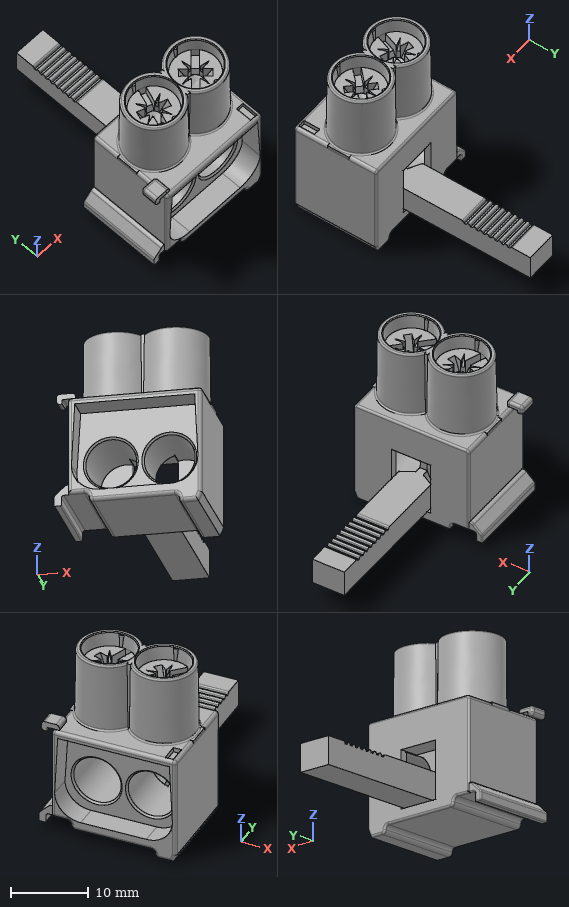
import cadquery as cq
import math


overall_length = 33.5

half_width = 8.9
front_y = -13.45
top_z = 15.75
left_bottom_z = 2.35
mid_bottom_z = 1.1
left_step_x = -6.77
foot_step_x = 5.3
edge_radius = 0.5
rear_edge_radius = 0.3
foot_chamfer_width = 0.5
foot_chamfer_height = 1.15

pair_spacing = 7.77
axis_xs = (-pair_spacing / 2, pair_spacing / 2)
bore_z = 7.4
bore_radius = 3.4
bore_chamfer = 0.27
rear_wall = 1.0
pocket_depth = 3.2
pocket_bottom_z = 2.6
pocket_top_z = 14.8
pocket_top_half = 7.97
pocket_bottom_half = 8.4
pocket_shoulder_z = 6.2
pocket_floor_half = 4.7
pocket_draft = 0.15

tower_y = -6.15
tower_top_z = 25.73
tower_top_radius = 4.45
tower_base_radius = 4.55
tower_flare = 0.25
tower_rim_radius = 0.25
tower_web_width = 0.55
tower_web_half_length = 2.55
mouth_radius = 3.72
mouth_chamfer = 0.15
key_radius = 0.37
key_offset = 3.82
key_drop = 0.17
pad_half_length = 1.75
pad_inset = 0.017

clip_front_y = front_y + edge_radius
hook_length = 2.5
hook_left_x = -10.55
hook_right_x = -7.97
hook_top_z = 16.55
hook_tip_z = 15.1
hook_thickness = 0.8
hook_bend_radius = 0.47
hook_inner_radius = 0.17
hook_rear_radius = 0.4
arm_left_x = -10.9
arm_thickness = 1.05
arm_tip_z = 0.9
arm_root_top_z = 3.8
arm_slope_start_x = -9.28
arm_slope_end_z = 2.28
arm_root_radius = 0.85
arm_bend_radius = 0.5
arm_inner_radius = 0.35
arm_rear_y = -0.1
arm_rear_radius = 0.2
clip_tip_radius = 0.17
notch_width = 1.15
notch_depth = 0.65
notch_center_x = 7.75

bar_width = 4.95
bar_bottom_z = 2.68
bar_top_z = 6.65
bar_rear_y = overall_length + front_y
bar_front_y = -3.0
drill_depth_y = -2.0
drill_tip_half_angle = 59
window_width = 6.0
groove_count = 8
groove_pitch = 1.0
groove_floor = 0.27
groove_depth = 0.35
crest_width = 0.5
crest_height = 0.17
first_groove_y = 9.58

screw_radius = 3.52
screw_top_z = 23.65
screw_bottom_z = 11.4
screw_angles = (70, 45)
slot_width = 1.1
slot_depth = 1.47
recess_arm_reach = 2.25
recess_core_radius = 1.15
recess_depth = 2.35
recess_tip_depth = 0.67
star_reach = 2.48
star_half_width = 0.37
star_depth = 2.0


def box(x0, x1, y0, y1, z0, z1):
    """Box given by its limits along each axis."""
    return cq.Workplane("XY").box(x1 - x0, y1 - y0, z1 - z0, centered=False).translate((x0, y0, z0))


def extrude_along_y(outline, start_y, end_y):
    """Extrude a closed X-Z outline between two Y positions."""
    return outline.extrude(start_y - end_y).translate((0, start_y, 0))


def y_cylinder(x, z, radius, start_y, end_y):
    return extrude_along_y(cq.Workplane("XZ").center(x, z).circle(radius), end_y, start_y)


def step_down(outline, x, z, drop):
    """Continue an outline with an S-shaped step: a hollow quarter arc, then a round one."""
    r = drop / 2
    bulge = r * math.sqrt(0.5)
    return (
        outline.threePointArc((x + bulge, z - r + bulge), (x + r, z - r))
        .threePointArc((x + 2 * r - bulge, z - r - bulge), (x + 2 * r, z - drop))
    )


def housing_block():
    outline = (
        cq.Workplane("XZ")
        .moveTo(-half_width, top_z)
        .lineTo(-half_width, left_bottom_z)
        .lineTo(left_step_x, left_bottom_z)
    )
    outline = step_down(outline, left_step_x, left_bottom_z, left_bottom_z - mid_bottom_z)
    outline = outline.lineTo(foot_step_x, mid_bottom_z)
    outline = step_down(outline, foot_step_x, mid_bottom_z, mid_bottom_z)
    outline = (
        outline.lineTo(half_width - foot_chamfer_width, 0)
        .lineTo(half_width, foot_chamfer_height)
        .lineTo(half_width, top_z)
        .close()
    )
    block = extrude_along_y(outline, 0, front_y)
    block = block.edges("<Y or (|Y and >Z)").fillet(edge_radius)
    return block.faces(">Y").edges().fillet(rear_edge_radius)


def pocket_outline(roof_drop):
    """Outline of the wire pocket: upright sides leaning inwards and round lower corners."""
    roof_z = pocket_top_z - roof_drop
    roof_half = pocket_top_half - roof_drop / 2
    corner_x = pocket_floor_half + (pocket_bottom_half - pocket_floor_half) * math.sqrt(0.5)
    corner_z = pocket_shoulder_z - (pocket_shoulder_z - pocket_bottom_z) * math.sqrt(0.5)
    return (
        cq.Workplane("XZ", origin=(0, front_y, 0))
        .moveTo(-roof_half, roof_z)
        .lineTo(roof_half, roof_z)
        .lineTo(pocket_bottom_half, pocket_shoulder_z)
        .threePointArc((corner_x, corner_z), (pocket_floor_half, pocket_bottom_z))
        .lineTo(-pocket_floor_half, pocket_bottom_z)
        .threePointArc((-corner_x, corner_z), (-pocket_bottom_half, pocket_shoulder_z))
        .close()
    )


def wire_pocket():
    mouth = pocket_outline(0).wire().val()
    floor = pocket_outline(pocket_draft).wire().val().translate(cq.Vector(0, pocket_depth, 0))
    return cq.Workplane(cq.Solid.makeLoft([mouth, floor], True))


def wire_bore(x):
    """Bore from the pocket floor to the rear wall, with a chamfered mouth."""
    mouth_y = front_y + pocket_depth
    bore = y_cylinder(x, bore_z, bore_radius, mouth_y, -rear_wall)
    mouth = cq.Solid.makeCone(
        bore_radius + bore_chamfer, bore_radius, bore_chamfer,
        pnt=cq.Vector(x, mouth_y, bore_z), dir=cq.Vector(0, 1, 0),
    )
    return bore.union(cq.Workplane(mouth))


def tower_body(x):
    """Slightly tapered tower with a flared base and a rounded rim."""
    flare_z = top_z + tower_flare
    rim_x = tower_top_radius - tower_rim_radius
    arc = math.sqrt(0.5)
    profile = (
        cq.Workplane("XZ")
        .moveTo(0, top_z - edge_radius)
        .lineTo(tower_base_radius, top_z - edge_radius)
        .lineTo(tower_base_radius + tower_flare, top_z)
        .threePointArc(
            (tower_base_radius + tower_flare * (1 - arc), flare_z - tower_flare * arc),
            (tower_base_radius, flare_z),
        )
        .lineTo(tower_top_radius, tower_top_z - tower_rim_radius)
        .threePointArc(
            (rim_x + tower_rim_radius * arc, tower_top_z - tower_rim_radius * (1 - arc)),
            (rim_x, tower_top_z),
        )
        .lineTo(0, tower_top_z)
        .close()
    )
    return profile.revolve(360, (0, 0, 0), (0, 1, 0)).translate((x, tower_y, 0))


def tower_web():
    """Narrow web that fills the valley between the two towers."""
    return box(
        -tower_web_width / 2, tower_web_width / 2,
        tower_y - tower_web_half_length, tower_y + tower_web_half_length,
        top_z - edge_radius, tower_top_z,
    )


def screw_hole(x):
    """Blind screw hole that opens into a tapered mouth above the screw head."""
    profile = (
        cq.Workplane("XZ")
        .moveTo(0, screw_bottom_z)
        .lineTo(screw_radius, screw_bottom_z)
        .lineTo(screw_radius, screw_top_z)
        .lineTo(mouth_radius, tower_top_z - mouth_chamfer)
        .lineTo(mouth_radius + mouth_chamfer, tower_top_z)
        .lineTo(0, tower_top_z)
        .close()
    )
    return profile.revolve(360, (0, 0, 0), (0, 1, 0)).translate((x, tower_y, 0))


def tower_keys(x):
    """Two small round ribs inside a tower mouth, at its front and rear."""
    return (
        cq.Workplane("XY", origin=(x, tower_y, screw_top_z))
        .pushPoints([(0, -key_offset), (0, key_offset)])
        .circle(key_radius)
        .extrude(tower_top_z - key_drop - screw_top_z)
    )


def tower_pad(side):
    """Square-edged pad that carries the tower flare across the rounded top edge."""
    inner_x = side * (half_width - edge_radius)
    outer_x = side * (half_width - pad_inset)
    return box(
        min(inner_x, outer_x), max(inner_x, outer_x),
        tower_y - pad_half_length, tower_y + pad_half_length,
        top_z - edge_radius, top_z,
    )


def upper_hook():
    """Short hook that reaches over the left top edge."""
    inner_x = hook_left_x + hook_thickness
    root_x = edge_radius - half_width
    outline = (
        cq.Workplane("XZ")
        .moveTo(hook_right_x, top_z - edge_radius)
        .lineTo(hook_right_x, hook_top_z)
        .lineTo(hook_left_x, hook_top_z)
        .lineTo(hook_left_x, hook_tip_z)
        .lineTo(inner_x, hook_tip_z)
        .lineTo(inner_x, hook_top_z - hook_thickness)
        .lineTo(root_x, hook_top_z - hook_thickness)
        .lineTo(root_x, top_z - edge_radius)
        .close()
    )
    hook = extrude_along_y(outline, clip_front_y + hook_length, clip_front_y)
    inner_bend = cq.selectors.NearestToPointSelector((inner_x, clip_front_y + hook_length / 2, top_z))
    hook = hook.edges("|Y").edges(inner_bend).fillet(hook_inner_radius)
    hook = hook.edges("|Y and >Z").fillet(hook_bend_radius)
    hook = hook.edges("|Y and <Z and <X").fillet(hook_bend_radius)
    return hook.edges(">Y and |Z and <X").fillet(hook_rear_radius)


def lower_arm():
    """Bent arm that runs along the left bottom edge."""
    inner_x = arm_left_x + arm_thickness
    root_x = edge_radius - half_width
    outline = (
        cq.Workplane("XZ")
        .moveTo(root_x, arm_root_top_z)
        .lineTo(arm_slope_start_x, arm_root_top_z)
        .lineTo(arm_left_x, arm_slope_end_z)
        .lineTo(arm_left_x, arm_tip_z)
        .lineTo(inner_x, arm_tip_z)
        .lineTo(inner_x, left_bottom_z)
        .lineTo(root_x, left_bottom_z)
        .close()
    )
    arm = extrude_along_y(outline, arm_rear_y, clip_front_y)
    inner_bend = cq.selectors.NearestToPointSelector((inner_x, clip_front_y / 2, left_bottom_z))
    arm = arm.edges("|Y").edges(inner_bend).fillet(arm_inner_radius)
    arm = arm.edges("|Y and >Z and (not >X)").fillet(arm_root_radius)
    arm = arm.edges("|Y and <X and (not <Z)").fillet(arm_bend_radius)
    arm = arm.edges("|Y and <Z").fillet(clip_tip_radius)
    return arm.faces(">Y").edges("not >X").fillet(arm_rear_radius)


def hook_notch():
    """Shallow notch in the right top edge for the neighbour's hook."""
    half = notch_width / 2
    return box(
        notch_center_x - half, notch_center_x + half,
        clip_front_y, clip_front_y + hook_length,
        top_z - notch_depth, top_z,
    )


def bar_window():
    """Opening in the rear wall that takes the end of the contact bar."""
    return box(
        -window_width / 2, window_width / 2, bar_front_y, 0,
        bar_bottom_z, bore_z + bore_radius,
    )


def make_housing():
    body = housing_block().union(tower_web()).union(upper_hook()).union(lower_arm())
    for side in (-1, 1):
        body = body.union(tower_pad(side))
    for x in axis_xs:
        body = body.union(tower_body(x))
    for x in axis_xs:
        body = body.cut(screw_hole(x)).union(tower_keys(x))
    body = body.cut(wire_pocket())
    for x in axis_xs:
        body = body.cut(wire_bore(x))
    return body.cut(bar_window()).cut(hook_notch())


def bar_groove(y):
    """Grip groove with a flat floor, sloping flanks and rounded crests on both sides."""
    half_pitch = groove_pitch / 2
    half_crest = crest_width / 2
    half_floor = groove_floor / 2
    crest_radius = (half_crest**2 + crest_height**2) / (2 * crest_height)
    half_angle = math.asin(half_crest / crest_radius) / 2
    flank_y = half_pitch - half_crest
    arc_y = half_pitch - crest_radius * math.sin(half_angle)
    arc_z = crest_radius * (math.cos(half_angle) - 1)
    return (
        cq.Workplane("YZ", origin=(-bar_width / 2, y, bar_top_z))
        .moveTo(-half_pitch, 0)
        .threePointArc((-arc_y, arc_z), (-flank_y, -crest_height))
        .lineTo(-half_floor, -groove_depth)
        .lineTo(half_floor, -groove_depth)
        .lineTo(flank_y, -crest_height)
        .threePointArc((arc_y, arc_z), (half_pitch, 0))
        .close()
        .extrude(bar_width)
    )


def drill_end(x):
    """Wire bore with its conical drill tip, where it runs into the bar."""
    tip_length = bore_radius / math.tan(math.radians(drill_tip_half_angle))
    tip = cq.Solid.makeCone(
        bore_radius, 0, tip_length,
        pnt=cq.Vector(x, drill_depth_y, bore_z), dir=cq.Vector(0, 1, 0),
    )
    return y_cylinder(x, bore_z, bore_radius, bar_front_y, drill_depth_y).union(cq.Workplane(tip))


def make_contact_bar():
    bar = box(-bar_width / 2, bar_width / 2, bar_front_y, bar_rear_y, bar_bottom_z, bar_top_z)
    for x in axis_xs:
        bar = bar.cut(drill_end(x))
    for i in range(groove_count):
        bar = bar.cut(bar_groove(first_groove_y + i * groove_pitch))
    return bar


def star_mark():
    """Tapered notch along +X whose floor rises to a point at its outer end."""
    plan = (
        cq.Workplane("XY")
        .polyline([(0, -star_half_width), (star_reach, 0), (0, star_half_width)])
        .close()
        .extrude(-star_depth)
    )
    side = (
        cq.Workplane("XZ")
        .polyline([(0, 0), (star_reach, 0), (0, -star_depth)])
        .close()
        .extrude(star_half_width, both=True)
    )
    return plan.intersect(side)


def recess_arm():
    """Pair of opposite recess arms along X, narrowing towards the bottom."""
    return (
        cq.Workplane("XZ")
        .polyline([
            (-recess_arm_reach, 0), (recess_arm_reach, 0),
            (recess_core_radius, -recess_depth), (-recess_core_radius, -recess_depth),
        ])
        .close()
        .extrude(slot_width / 2, both=True)
    )


def make_screw(x, slot_angle):
    """Screw with a through slot, a cross recess and four star marks between its arms."""
    screw = cq.Workplane("XY").circle(screw_radius).extrude(screw_bottom_z - screw_top_z)
    screw = screw.cut(
        box(-screw_radius, screw_radius, -slot_width / 2, slot_width / 2, -slot_depth, 0)
    )
    screw = screw.cut(cq.Workplane("XY").circle(recess_core_radius).extrude(-recess_depth))
    tip = cq.Solid.makeCone(
        recess_core_radius, 0, recess_tip_depth,
        pnt=cq.Vector(0, 0, -recess_depth), dir=cq.Vector(0, 0, -1),
    )
    screw = screw.cut(cq.Workplane(tip))
    for turn in (0, 90):
        screw = screw.cut(recess_arm().rotate((0, 0, 0), (0, 0, 1), turn))
    for turn in (45, 135, 225, 315):
        screw = screw.cut(star_mark().rotate((0, 0, 0), (0, 0, 1), turn))
    return screw.rotate((0, 0, 0), (0, 0, 1), slot_angle).translate((x, tower_y, screw_top_z))


housing = make_housing()
contact_bar = make_contact_bar()
screws = [make_screw(x, angle) for x, angle in zip(axis_xs, screw_angles)]

result = cq.Compound.makeCompound(
    [housing.val(), contact_bar.val(), *[screw.val() for screw in screws]]
)